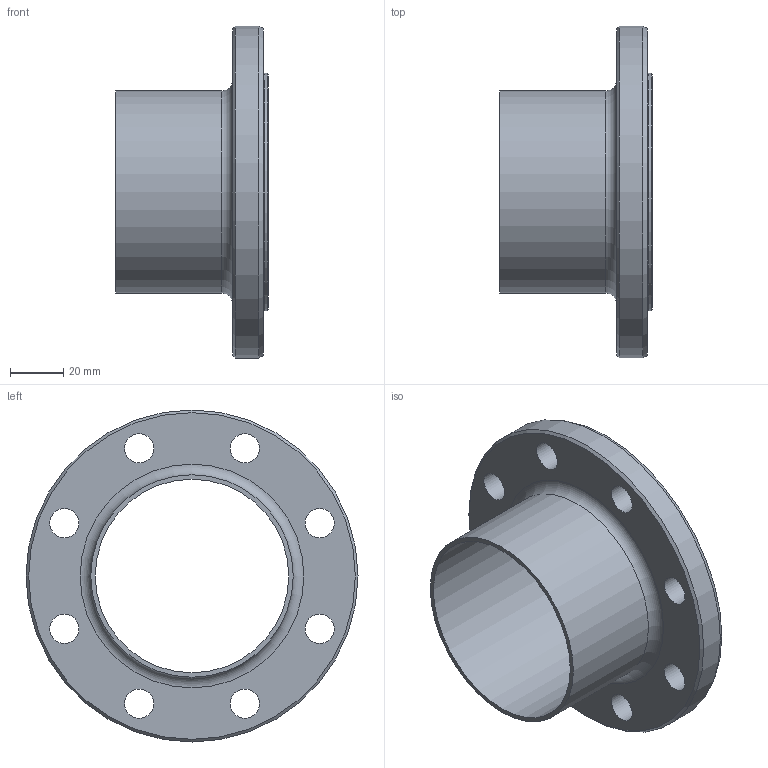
import cadquery as cq
import math

total_length = 57.5
raised_face_height = 1.9
flange_thickness = 11.6

bore_diameter = 72.9
neck_diameter = 76.2
flange_diameter = 125.0
raised_face_diameter = 89.5

neck_fillet = 4.0
flange_back_chamfer = 1.0
flange_front_chamfer_depth = 1.0
flange_front_chamfer_angle = 30.0
raised_face_chamfer = 0.5
raised_face_root_chamfer = 0.5

bolt_count = 8
bolt_hole_diameter = 11.0
bolt_circle_diameter = 104.0
bolt_start_angle = 180 / bolt_count

flange_front = total_length - raised_face_height
flange_back = flange_front - flange_thickness


def disc(diameter, start, end):
    """Solid cylinder around the X axis between two X positions."""
    return cq.Workplane("YZ", origin=(start, 0, 0)).circle(diameter / 2).extrude(end - start)


def revolve_about_x(profile):
    """Solid of revolution of a closed XY profile around the X axis."""
    return profile.close().revolve(360, (0, 0, 0), (1, 0, 0))


def flange():
    """Flange plate, chamfered evenly on the neck side and by a shallow cone on the sealing side."""
    rim_radius = flange_diameter / 2
    front_chamfer_length = flange_front_chamfer_depth / math.tan(math.radians(flange_front_chamfer_angle))
    profile = (
        cq.Workplane("XY")
        .moveTo(flange_back, 0)
        .lineTo(flange_back, rim_radius - flange_back_chamfer)
        .lineTo(flange_back + flange_back_chamfer, rim_radius)
        .lineTo(flange_front - front_chamfer_length, rim_radius)
        .lineTo(flange_front, rim_radius - flange_front_chamfer_depth)
        .lineTo(flange_front, 0)
    )
    return revolve_about_x(profile)


def raised_face():
    """Thin sealing disc in front of the flange, with a flared root and a chamfered rim."""
    face_radius = raised_face_diameter / 2
    profile = (
        cq.Workplane("XY")
        .moveTo(flange_front, 0)
        .lineTo(flange_front, face_radius + raised_face_root_chamfer)
        .lineTo(flange_front + raised_face_root_chamfer, face_radius)
        .lineTo(total_length - raised_face_chamfer, face_radius)
        .lineTo(total_length, face_radius - raised_face_chamfer)
        .lineTo(total_length, 0)
    )
    return revolve_about_x(profile)


def neck():
    """Pipe neck that flares into the flange through a concave fillet."""
    neck_radius = neck_diameter / 2
    profile = (
        cq.Workplane("XY")
        .lineTo(0, neck_radius)
        .lineTo(flange_back - neck_fillet, neck_radius)
        .radiusArc((flange_back, neck_radius + neck_fillet), -neck_fillet)
        .lineTo(flange_back, 0)
    )
    return revolve_about_x(profile)


def bolt_holes():
    """Ring of cylinders that cut the bolt holes through the flange."""
    return (
        cq.Workplane("YZ", origin=(flange_back, 0, 0))
        .polarArray(bolt_circle_diameter / 2, bolt_start_angle, 360, bolt_count)
        .circle(bolt_hole_diameter / 2)
        .extrude(flange_thickness)
    )


body = flange().union(raised_face()).union(neck())
result = body.cut(disc(bore_diameter, 0, total_length)).cut(bolt_holes())